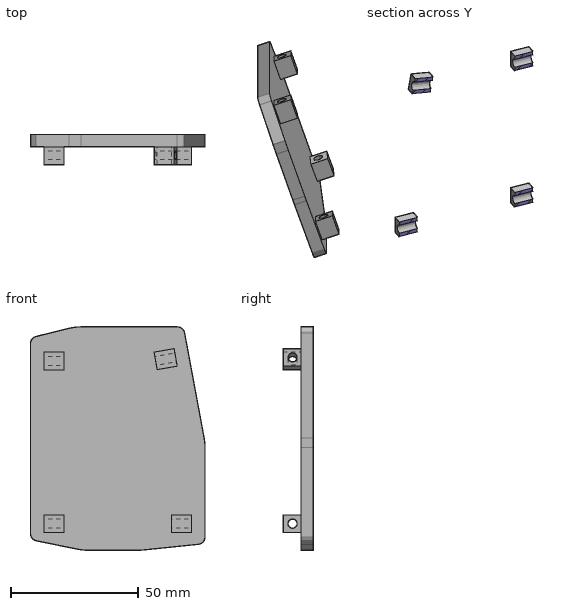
import cadquery as cq

plate_width = 68.8
plate_height = 88.0
plate_thickness = 5.0
corner_radius = 3.0
blend_radius = 20.0

left_low_z = 4.2
left_high_z = 83.65
top_bend_x = 17.6
top_right_x = 60.3
right_bend_z = 42.3
right_low_z = 2.6
bottom_right_bend_x = 43.5
bottom_left_bend_x = 20.6

lug_length = 8.0
lug_height = 7.0
lug_projection = 7.0
lug_hole_diameter = 3.5
lug_hole_standoff = 3.25
lug_side_inset = 5.3
low_lug_z = 10.5
high_lug_z = 74.5
tilted_lug_x = 53.25
tilted_lug_z = 75.25
lug_tilt = 10.0

left_lug_x = lug_side_inset + lug_length / 2
right_lug_x = plate_width - left_lug_x

lug_places = [
    (left_lug_x, low_lug_z, 0),
    (left_lug_x, high_lug_z, 0),
    (right_lug_x, low_lug_z, 0),
    (tilted_lug_x, tilted_lug_z, lug_tilt),
]


def round_edges_at(body, points, radius):
    """Fillet the plate edges that run along Y through the given (x, z) points."""
    for x, z in points:
        edge = cq.selectors.NearestToPointSelector((x, plate_thickness / 2, z))
        body = body.edges("|Y").edges(edge).fillet(radius)
    return body


def make_plate():
    """Plate from y = 0 to y = plate_thickness with rounded corners and blended bends."""
    lower_left = (0, left_low_z)
    upper_left = (0, left_high_z)
    top_bend = (top_bend_x, plate_height)
    upper_right = (top_right_x, plate_height)
    right_bend = (plate_width, right_bend_z)
    lower_right = (plate_width, right_low_z)
    bottom_right_bend = (bottom_right_bend_x, 0)
    bottom_left_bend = (bottom_left_bend_x, 0)

    outline = [
        lower_left, upper_left, top_bend, upper_right,
        right_bend, lower_right, bottom_right_bend, bottom_left_bend,
    ]
    plate = cq.Workplane("XZ").polyline(outline).close().extrude(-plate_thickness)

    corners = [lower_left, upper_left, upper_right, lower_right]
    bends = [top_bend, right_bend, bottom_right_bend, bottom_left_bend]
    plate = round_edges_at(plate, corners, corner_radius)
    return round_edges_at(plate, bends, blend_radius)


def make_lug(x, z, tilt):
    """Block in front of the plate with a hole through its length, tilted about its own centre."""
    block = cq.Workplane("XZ").rect(lug_length, lug_height).extrude(lug_projection)
    hole = (
        cq.Workplane("YZ", origin=(-lug_length / 2, -lug_hole_standoff, 0))
        .circle(lug_hole_diameter / 2)
        .extrude(lug_length)
    )
    lug = block.cut(hole).rotate((0, 0, 0), (0, -1, 0), tilt)
    return lug.translate((x, 0, z))


result = make_plate()
for lug_x, lug_z, tilt in lug_places:
    result = result.union(make_lug(lug_x, lug_z, tilt))